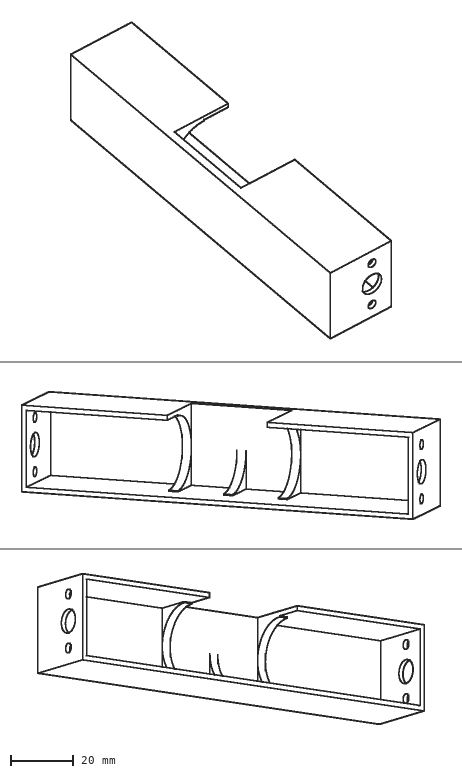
import cadquery as cq

length = 133.0
depth = 24.7
height = 28.0
plate = 1.6
front_wall = 2.9

window_length = 34.0

rib_thickness = 3.0
throat_radius = 12.1

main_hole_diameter = 7.7
screw_hole_diameter = 3.0
hole_setback = 7.8
screw_offset = 8.8

open_side = depth / 2
inner_wall = -depth / 2 + front_wall
inner_depth = depth - front_wall
inner_height = height - 2 * plate
inner_centre = (open_side + inner_wall) / 2
throat_centre = inner_wall + throat_radius
hole_y = open_side - hole_setback


def make_channel():
    body = cq.Workplane("XY").box(length, depth, height)
    cavity = cq.Workplane("XY").box(length - 2 * plate, inner_depth, inner_height)
    return body.cut(cavity.translate((0, inner_centre, 0)))


def make_rib(x_centre):
    """C-shaped rib whose throat is tangent to the front wall."""
    web_depth = throat_centre - inner_wall
    web = cq.Workplane("XY").box(rib_thickness, web_depth, inner_height)
    web = web.translate((x_centre, (inner_wall + throat_centre) / 2, 0))
    throat = (
        cq.Workplane("YZ", origin=(x_centre, 0, 0))
        .center(throat_centre, 0)
        .circle(throat_radius)
        .extrude(rib_thickness, both=True)
    )
    return web.cut(throat)


def make_window():
    """Opening through the top plate that also trims the middle rib."""
    return (
        cq.Workplane("XY")
        .box(window_length, inner_depth, height / 2, centered=(True, True, False))
        .translate((0, inner_centre, 0))
    )


def make_hole(diameter, z_centre):
    return (
        cq.Workplane("YZ")
        .center(hole_y, z_centre)
        .circle(diameter / 2)
        .extrude(length, both=True)
    )


result = make_channel()

side_rib_x = (window_length + rib_thickness) / 2
for rib_x in (-side_rib_x, 0, side_rib_x):
    result = result.union(make_rib(rib_x))

result = result.cut(make_window())

result = result.cut(make_hole(main_hole_diameter, 0))
for screw_z in (-screw_offset, screw_offset):
    result = result.cut(make_hole(screw_hole_diameter, screw_z))